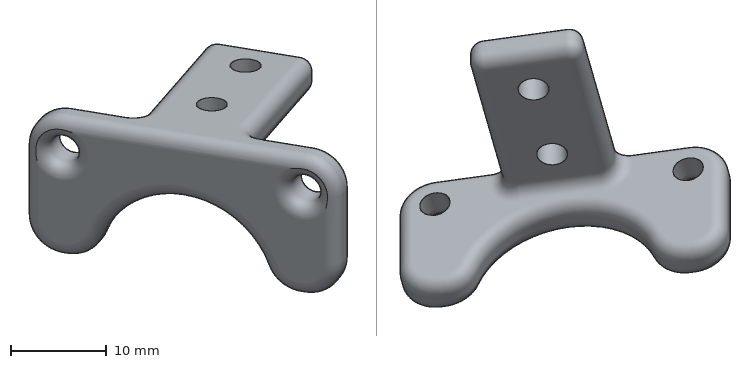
import cadquery as cq
import math

width = 35.0
height = 16.0
depth = 24.0
thickness = 4.0
tab_width = 12.0
corner_radius = 4.0
edge_radius = 1.5
inside_radius = 1.47
arch_radius = 10.0
arch_top = 9.0
hole_radius = 1.6
mouth_radius = 1.5
tab_hole_end_distance = 5.0
tab_hole_spacing = 10.0
tab_hole_count = 2

arch_center_z = arch_top - arch_radius
lobe_x = math.sqrt((arch_radius + corner_radius) ** 2 - (corner_radius - arch_center_z) ** 2)
lobe_share = arch_radius / (arch_radius + corner_radius)
tangent_x = lobe_x * lobe_share
tangent_z = arch_center_z + (corner_radius - arch_center_z) * lobe_share
half_width = width / 2
plate_hole_x = half_width - corner_radius
plate_hole_z = height - corner_radius


def lobe_middle(side):
    """Point halfway along the arc joining the bottom to the arch."""
    end_angle = math.atan2(tangent_z - corner_radius, lobe_x - tangent_x)
    angle = (end_angle - math.pi / 2) / 2
    return (
        side * (lobe_x - corner_radius * math.cos(angle)),
        corner_radius + corner_radius * math.sin(angle),
    )


def front_plate():
    plate = (
        cq.Workplane("XZ")
        .moveTo(-half_width, 0)
        .lineTo(-lobe_x, 0)
        .threePointArc(lobe_middle(-1), (-tangent_x, tangent_z))
        .threePointArc((0, arch_top), (tangent_x, tangent_z))
        .threePointArc(lobe_middle(1), (lobe_x, 0))
        .lineTo(half_width, 0)
        .lineTo(half_width, height)
        .lineTo(-half_width, height)
        .close()
        .extrude(-thickness)
    )
    return plate.edges("|Y and (<X or >X)").fillet(corner_radius)


def tab():
    bar = (
        cq.Workplane("XY")
        .box(tab_width, depth, thickness, centered=(True, False, False))
        .translate((0, 0, height - thickness))
    )
    return bar.edges("(|Y and <Z) or (>Y and (|Z or <Z))").fillet(edge_radius)


def flared_hole(x):
    """Cutter for a plate hole whose front mouth is rounded outward."""
    bend = mouth_radius * (1 - math.sqrt(0.5))
    return (
        cq.Workplane("XY")
        .lineTo(hole_radius + mouth_radius, 0)
        .threePointArc((hole_radius + bend, bend), (hole_radius, mouth_radius))
        .lineTo(hole_radius, thickness)
        .lineTo(0, thickness)
        .close()
        .revolve(360, (0, 0, 0), (0, 1, 0))
        .translate((x, 0, plate_hole_z))
    )


result = front_plate().union(tab()).clean()
margin = edge_radius / 4
inside_corner = cq.selectors.BoxSelector(
    (-tab_width / 2 - margin, thickness - margin, height - thickness - margin),
    (tab_width / 2 + margin, thickness + margin, height - margin),
)
result = result.edges(inside_corner).fillet(inside_radius)

result = result.faces("<Y").edges().fillet(edge_radius)

result = result.faces(">Y").edges(">Z").fillet(edge_radius)

for hole_x in (-plate_hole_x, plate_hole_x):
    result = result.cut(flared_hole(hole_x))

for index in range(tab_hole_count):
    hole_y = depth - tab_hole_end_distance - index * tab_hole_spacing
    cutter = cq.Workplane("XY").center(0, hole_y).circle(hole_radius).extrude(height)
    result = result.cut(cutter)